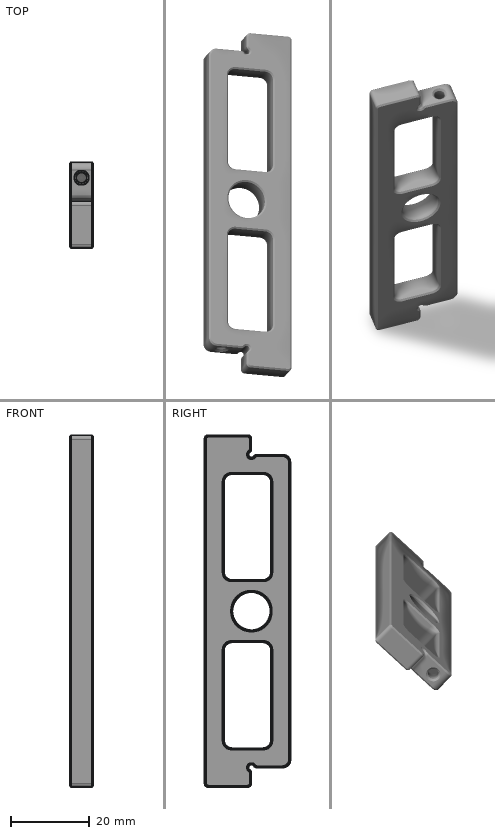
import cadquery as cq

thickness = 6.0
width = 22.0
height = 90.0

step_y = 1.0
step_depth = 5.0
shoulder_z = height / 2 - step_depth
shoulder_fillet = 2.0
tongue_fillet = 1.0
relief_radius = 0.75
relief_lip_fillet = 1.0

window_width = 12.0
window_inner_z = 8.0
window_outer_z = 35.0
window_fillet = 2.0
bore_diameter = 9.7
bore_y = 1.0

screw_diameter = 2.7
screw_y = 7.0
screw_depth = 5.0
screw_chamfer = 0.5

face_chamfer = 0.4

ENDS = (1, -1)


def plate_blank():
    """Plate with both ends stepped back on the +Y side and every outer corner on the end steps rounded."""
    blank = cq.Workplane("XY").box(thickness, width, height)
    shoulder_width = width / 2 - step_y
    for end in ENDS:
        notch = cq.Workplane("XY").box(thickness, shoulder_width, step_depth)
        notch_y = step_y + shoulder_width / 2
        notch_z = shoulder_z + step_depth / 2
        blank = blank.cut(notch.translate((0, notch_y, end * notch_z)))
    shoulder_corners = cq.selectors.BoxSelector(
        (-thickness, width / 2 - face_chamfer, -height),
        (thickness, width / 2 + face_chamfer, height),
    )
    blank = blank.edges("|X").edges(shoulder_corners).fillet(shoulder_fillet)
    for end_face in (">Z", "<Z"):
        blank = blank.faces(end_face).edges("|X").fillet(tongue_fillet)
    return blank


def bar_along_x(radius, y, z):
    """Cylinder through the full thickness, used as a cutter."""
    bar = cq.Workplane("YZ").circle(radius).extrude(thickness)
    return bar.translate((-thickness / 2, y, z))


def relieve_step_corner(body, end):
    """Round relief in the inner corner of one step, with both of its lips rounded."""
    corner_z = end * shoulder_z
    body = body.cut(bar_along_x(relief_radius, step_y, corner_z))
    reach = relief_radius + face_chamfer
    lips = cq.selectors.BoxSelector(
        (-thickness, step_y - reach, corner_z - reach),
        (thickness, step_y + reach, corner_z + reach),
    )
    return body.edges("|X").edges(lips).fillet(relief_lip_fillet)


def window(end):
    """Round-cornered window cutter between the bore and one end."""
    window_height = window_outer_z - window_inner_z
    cutter = cq.Workplane("XY").box(thickness, window_width, window_height)
    cutter = cutter.edges("|X").fillet(window_fillet)
    return cutter.translate((0, 0, end * (window_inner_z + window_outer_z) / 2))


def screw_hole(end):
    """Blind, countersunk hole cutter entering one shoulder."""
    radius = screw_diameter / 2
    profile = (
        cq.Workplane("XZ")
        .moveTo(0, shoulder_z)
        .lineTo(radius + screw_chamfer, shoulder_z)
        .lineTo(radius, shoulder_z - screw_chamfer)
        .lineTo(radius, shoulder_z - screw_depth)
        .lineTo(0, shoulder_z - screw_depth)
        .close()
    )
    cutter = profile.revolve(360, (0, 0, 0), (0, 1, 0))
    if end < 0:
        cutter = cutter.mirror("XY")
    return cutter.translate((0, screw_y, 0))


plate = plate_blank()
for end in ENDS:
    plate = relieve_step_corner(plate, end)
    plate = plate.cut(window(end))
plate = plate.cut(bar_along_x(bore_diameter / 2, bore_y, 0))

plate = plate.faces("<X or >X").edges().chamfer(face_chamfer)
for end in ENDS:
    plate = plate.cut(screw_hole(end))

result = plate